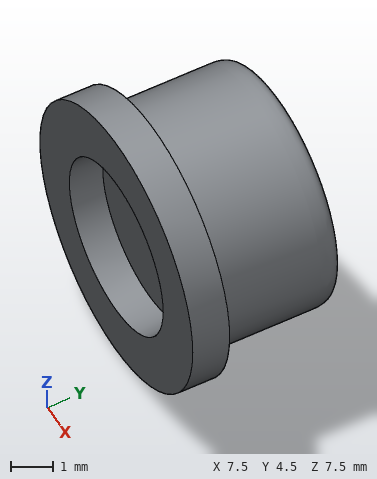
import cadquery as cq

flange_diameter = 7.5
flange_thickness = 1.0
body_diameter = 6.3
total_length = 4.5
crown_height = 0.7
recess_diameter = 4.6
recess_depth = 0.9

body_radius = body_diameter / 2
crown_start = total_length - crown_height


def disc(diameter, length):
    """Cylinder along +Y, starting at the flange face (Y = 0)."""
    return cq.Workplane("XZ").circle(diameter / 2).extrude(-length)


crown_corner = (body_radius, total_length)
body = (
    cq.Workplane("XY")
    .lineTo(body_radius, 0)
    .lineTo(body_radius, crown_start)
    .bezier([crown_corner, crown_corner, (0, total_length)], includeCurrent=True)
    .close()
    .revolve(360, (0, 0), (0, 1))
)

flange = disc(flange_diameter, flange_thickness)

recess = disc(recess_diameter, recess_depth)

result = body.union(flange).cut(recess)